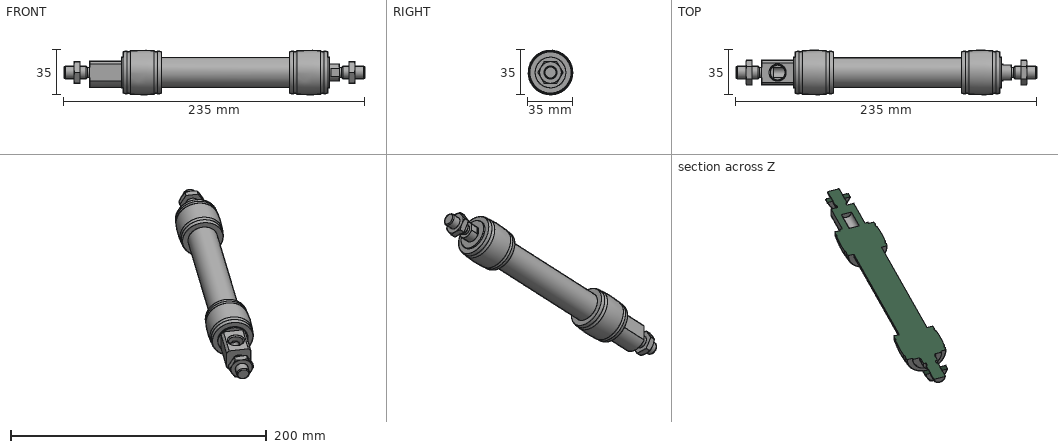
import cadquery as cq
import math

length = 235.0
half_length = length / 2

thread_diameter = 10.0
thread_tip_diameter = 8.7
neck_diameter = 8.0
tip_chamfer = 1.0
thread_length = 17.2
runout_length = 1.0
stud_length = 20.0

nut_across_flats = 17.0
nut_thickness = 5.0
nut_inset = 7.5
nut_chamfer_angle = 30

cap_length = 30.0
cap_diameter = 35.0
barrel_end_diameter = 34.0
ring_diameter = 33.4
ring_face_diameter = 32.2
ring_crown = 0.2
ring_width = 3.0
groove_width = 2.8
groove_diameter = 32.7
rear_cap_inset = 46.0
front_cap_inset = 29.0

tube_diameter = 23.5
collar_diameter = 24.0
collar_length = 1.5

block_diameter = 23.5
block_half_width = 9.6
block_top = 9.0

port_inset = 32.5
port_diameter = 11.5
port_mouth_diameter = 13.5
port_mouth_chamfer = 1.0
port_floor = 0.0
passage_diameter = 8.0
passage_inset = 29.4

rod_diameter = 13.5
rod_across_flats = 12.0
flats_gap = 1.0

rear_cap_x = -half_length + rear_cap_inset
front_cap_x = half_length - front_cap_inset - cap_length
front_cap_end_x = front_cap_x + cap_length
block_x = -half_length + stud_length
block_end_x = rear_cap_x - collar_length
rod_end_x = half_length - stud_length
rod_x = front_cap_end_x + collar_length


def cylinder_x(start, end, diameter):
    """Cylinder on the X axis between two X positions."""
    return cq.Workplane("YZ", origin=(start, 0, 0)).circle(diameter / 2).extrude(end - start)


def make_stud():
    """Rear stud: chamfered tip, thread, tapered run-out and narrow neck."""
    runout_x = -half_length + thread_length
    return (
        cq.Workplane("XY")
        .moveTo(-half_length, 0)
        .lineTo(-half_length, thread_tip_diameter / 2)
        .lineTo(-half_length + tip_chamfer, thread_diameter / 2)
        .lineTo(runout_x, thread_diameter / 2)
        .lineTo(runout_x + runout_length, neck_diameter / 2)
        .lineTo(block_x, neck_diameter / 2)
        .lineTo(block_x, 0)
        .close()
        .revolve(360, (0, 0, 0), (1, 0, 0))
    )


def make_cap(start):
    """End cap: bulging middle between two grooves and two crowned end rings."""
    end = start + cap_length
    barrel_start = start + ring_width + groove_width
    barrel_end = end - ring_width - groove_width
    ring_mid_radius = (ring_face_diameter + ring_diameter) / 4 + ring_crown
    return (
        cq.Workplane("XY")
        .moveTo(start, 0)
        .lineTo(start, ring_face_diameter / 2)
        .threePointArc((start + ring_width / 2, ring_mid_radius), (start + ring_width, ring_diameter / 2))
        .threePointArc((start + ring_width + groove_width / 2, groove_diameter / 2),
                       (barrel_start, barrel_end_diameter / 2))
        .threePointArc((start + cap_length / 2, cap_diameter / 2), (barrel_end, barrel_end_diameter / 2))
        .threePointArc((end - ring_width - groove_width / 2, groove_diameter / 2),
                       (end - ring_width, ring_diameter / 2))
        .threePointArc((end - ring_width / 2, ring_mid_radius), (end, ring_face_diameter / 2))
        .lineTo(end, 0)
        .close()
        .revolve(360, (0, 0, 0), (1, 0, 0))
    )


def make_block():
    """Round block with flat sides and a flat top; its underside stays round."""
    envelope = cq.Workplane("XY").box(
        block_end_x - block_x,
        2 * block_half_width,
        block_diameter / 2 + block_top,
        centered=(False, True, False),
    ).translate((block_x, 0, -block_diameter / 2))
    return cylinder_x(block_x, block_end_x, block_diameter).intersect(envelope)


def make_port():
    """Blind vertical port with a chamfered mouth, and the passage it opens into."""
    port_x = -half_length + port_inset
    bore = (
        cq.Workplane("XZ", origin=(port_x, 0, 0))
        .moveTo(0, port_floor)
        .lineTo(port_diameter / 2, port_floor)
        .lineTo(port_diameter / 2, block_top - port_mouth_chamfer)
        .lineTo(port_mouth_diameter / 2, block_top)
        .lineTo(0, block_top)
        .close()
        .revolve(360, (0, 0, 0), (0, 1, 0))
    )
    passage = cylinder_x(-half_length + passage_inset, rear_cap_x, passage_diameter)
    return bore.union(passage)


def make_rod():
    """Piston rod with two wrench flats facing -Y and +Y, just clear of the collar."""
    rod = cylinder_x(front_cap_end_x, rod_end_x, rod_diameter)
    for side in (-1, 1):
        flat = cq.Workplane("XY").box(
            rod_end_x - rod_x - flats_gap, rod_diameter, rod_diameter, centered=(False, True, True)
        ).translate((rod_x + flats_gap, side * (rod_across_flats + rod_diameter) / 2, 0))
        rod = rod.cut(flat)
    return rod


def make_cylinder():
    rear_stud = make_stud()
    return (
        cylinder_x(rear_cap_x, front_cap_end_x, tube_diameter)
        .union(make_cap(rear_cap_x))
        .union(make_cap(front_cap_x))
        .union(cylinder_x(block_end_x, rear_cap_x, collar_diameter))
        .union(cylinder_x(front_cap_end_x, rod_x, collar_diameter))
        .union(make_block())
        .union(make_rod())
        .union(rear_stud)
        .union(rear_stud.mirror("YZ"))
        .cut(make_port())
    )


def make_nut():
    """Rear lock nut: corners on the Y axis, chamfered on the outward face only."""
    across_corners = nut_across_flats / math.cos(math.radians(30))
    start = -half_length + nut_inset
    hexagon = cq.Workplane("YZ", origin=(start, 0, 0)).polygon(6, across_corners).extrude(nut_thickness)
    corner_rise = (across_corners - nut_across_flats) / 2
    chamfer_depth = corner_rise * math.tan(math.radians(nut_chamfer_angle))
    envelope = (
        cylinder_x(start, start + nut_thickness, across_corners)
        .faces("<X")
        .chamfer(chamfer_depth, corner_rise)
    )
    bore = cylinder_x(start, start + nut_thickness, thread_diameter)
    return hexagon.intersect(envelope).cut(bore)


cylinder = make_cylinder()
rear_nut = make_nut()
nuts = [rear_nut, rear_nut.mirror("YZ")]

result = cq.Compound.makeCompound([cylinder.val(), *[nut.val() for nut in nuts]])